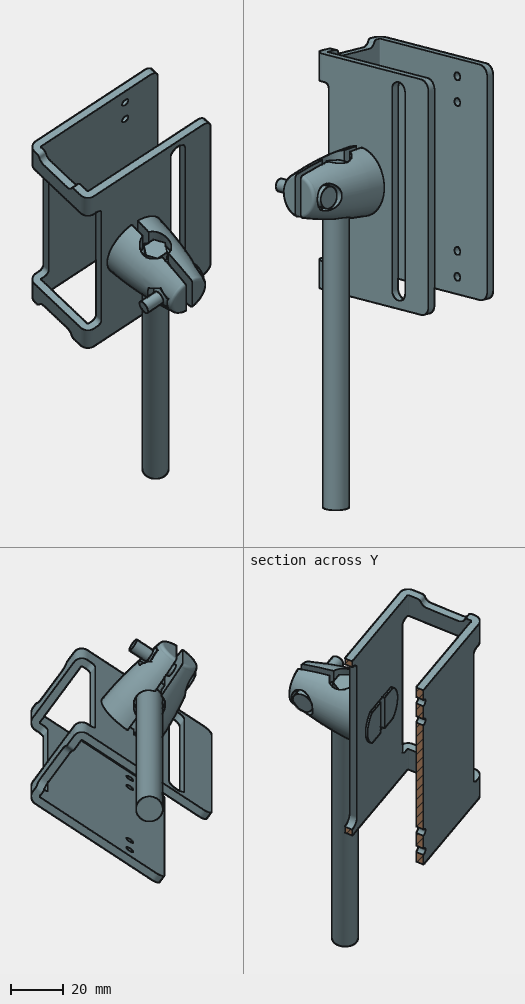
import cadquery as cq
import math

BRACKET_WIDTH = 34.5
BRACKET_DEPTH = 61.0
BRACKET_HEIGHT = 92.1
TOP_Z = 171.2
SHEET = 3.3
BEND_OUTER_RADIUS = 3.6
CORNER_RADIUS = 4.0
BOTTOM_Z = TOP_Z - BRACKET_HEIGHT
MID_Z = TOP_Z - BRACKET_HEIGHT / 2

STRAP_HEIGHT = 11.0
WINDOW_DEPTH = 7.2
WINDOW_CORNER_RADIUS = 2.0

NOTCH_CENTER_X = 16.0
NOTCH_DEPTH = 2.9
NOTCH_FLOOR_HALF = 6.8
NOTCH_MOUTH_HALF = 11.0
NOTCH_FLOOR_ARC_SHARE = 0.65

HOLE_DIAMETER = 3.0
HOLE_FROM_BACK = 16.1
HOLE_OUTER_INSET = 6.8
HOLE_PITCH = 10.1
HOLE_Y = BRACKET_DEPTH - HOLE_FROM_BACK
SLOT_WIDTH = 7.0
SLOT_END_INSET = HOLE_OUTER_INSET - SLOT_WIDTH / 2

CLAMP_Y = 23.6
CLAMP_END_X = 66.8
CLAMP_BASE_RADIUS = 13.5
CLAMP_MID_RADIUS = 12.0
CLAMP_MID_X = 49.3
CLAMP_TIP_RADIUS = 8.5
CLAMP_RIM_ROUNDING = 1.4
CLAMP_RIM_X = CLAMP_END_X - CLAMP_RIM_ROUNDING
SLIT_WIDTH = 2.9
PLUG_RADIUS = 11.3
PLUG_HALF_HEIGHT = 8.0
PLUG_PROUD = 0.9
PLATE_INNER_X = BRACKET_WIDTH - SHEET

ROD_X = 46.8
ROD_DIAMETER = 10.1
ROD_RECESS_RADIUS = 6.0
ROD_RECESS_FLOOR = 5.1
ROD_HEX_ACROSS_FLATS = 8.0
ROD_HEX_TOP = 9.5
COLLAR_RADIUS = 8.2
COLLAR_TOP_RADIUS = 6.8
COLLAR_CHAMFER = COLLAR_RADIUS - COLLAR_TOP_RADIUS

HEXAGON_SIDES = 6

SCREW_X = 59.8
SCREW_DIAMETER = 5.1
SCREW_REACH = 16.6
NUT_POCKET_ACROSS_FLATS = 8.9
NUT_POCKET_FLOOR = 6.2
NUT_ACROSS_FLATS = 8.0
NUT_CROWN = 9.0
NUT_CONE_SLOPE = math.radians(25)
HEAD_RECESS_RADIUS = 5.3
HEAD_RECESS_FLOOR = 5.1
HEAD_RADIUS = 4.3
HEAD_TOP = 9.5


def hexagon_diameter(across_flats):
    return across_flats / math.cos(math.radians(30))


def cylinder_z(x, y, radius, z_low, z_high):
    return cq.Workplane("XY", origin=(x, y, z_low)).circle(radius).extrude(z_high - z_low)


def cylinder_y(radius, y_low, y_high):
    """Cylinder on the clamp screw axis."""
    plane = cq.Workplane("XZ", origin=(SCREW_X, y_high, MID_Z))
    return plane.circle(radius).extrude(y_high - y_low)


def bracket_shell():
    outer = (
        cq.Workplane("XY", origin=(0, 0, BOTTOM_Z))
        .rect(BRACKET_WIDTH, BRACKET_DEPTH, centered=False)
        .extrude(BRACKET_HEIGHT)
        .edges("|Z and <Y").fillet(BEND_OUTER_RADIUS)
        .edges("|X and >Y").fillet(CORNER_RADIUS)
    )
    cavity = (
        cq.Workplane("XY", origin=(SHEET, SHEET, BOTTOM_Z))
        .rect(BRACKET_WIDTH - 2 * SHEET, BRACKET_DEPTH, centered=False)
        .extrude(BRACKET_HEIGHT)
        .edges("|Z and <Y").fillet(BEND_OUTER_RADIUS - SHEET)
    )
    return outer.cut(cavity)


def front_window():
    return (
        cq.Workplane("XY", origin=(0, -WINDOW_DEPTH, BOTTOM_Z + STRAP_HEIGHT))
        .rect(BRACKET_WIDTH, 2 * WINDOW_DEPTH, centered=False)
        .extrude(BRACKET_HEIGHT - 2 * STRAP_HEIGHT)
        .edges("|X and >Y").fillet(WINDOW_CORNER_RADIUS)
    )


def strap_notch(edge_z, inward):
    """Notch with S-shaped flanks, each a floor arc running tangent into a mouth arc."""
    flank = NOTCH_MOUTH_HALF - NOTCH_FLOOR_HALF
    sweep = 2 * math.atan(NOTCH_DEPTH / flank)
    radius_sum = flank / math.sin(sweep)
    floor_radius = NOTCH_FLOOR_ARC_SHARE * radius_sum
    mouth_radius = radius_sum - floor_radius
    half = sweep / 2

    def floor_point(angle):
        return (
            NOTCH_FLOOR_HALF + floor_radius * math.sin(angle),
            NOTCH_DEPTH - floor_radius * (1 - math.cos(angle)),
        )

    def mouth_point(angle):
        return (
            NOTCH_MOUTH_HALF - mouth_radius * math.sin(angle),
            mouth_radius * (1 - math.cos(angle)),
        )

    def at(point, side):
        return (NOTCH_CENTER_X + side * point[0], edge_z + inward * point[1])

    return (
        cq.Workplane("XZ")
        .moveTo(*at(mouth_point(0), -1))
        .threePointArc(at(mouth_point(half), -1), at(mouth_point(sweep), -1))
        .threePointArc(at(floor_point(half), -1), at(floor_point(0), -1))
        .lineTo(*at(floor_point(0), 1))
        .threePointArc(at(floor_point(half), 1), at(floor_point(sweep), 1))
        .threePointArc(at(mouth_point(half), 1), at(mouth_point(0), 1))
        .close()
        .extrude(-SHEET)
    )


def left_plate_holes():
    half_span = BRACKET_HEIGHT / 2 - HOLE_OUTER_INSET
    offsets = [half_span, half_span - HOLE_PITCH, HOLE_PITCH - half_span, -half_span]
    return (
        cq.Workplane("YZ", origin=(0, HOLE_Y, MID_Z))
        .pushPoints([(0, offset) for offset in offsets])
        .circle(HOLE_DIAMETER / 2)
        .extrude(SHEET)
    )


def right_plate_slot():
    return (
        cq.Workplane("YZ", origin=(PLATE_INNER_X, HOLE_Y, MID_Z))
        .slot2D(BRACKET_HEIGHT - 2 * SLOT_END_INSET, SLOT_WIDTH, 90)
        .extrude(SHEET)
    )


def clamp_plug():
    """Round plug with flats above and below, seated in the right plate."""
    length = SHEET + PLUG_PROUD
    plane = cq.Workplane("YZ", origin=(PLATE_INNER_X - PLUG_PROUD, CLAMP_Y, MID_Z))
    flats = plane.rect(2 * PLUG_RADIUS, 2 * PLUG_HALF_HEIGHT).extrude(length)
    return plane.circle(PLUG_RADIUS).extrude(length).intersect(flats)


def clamp_body():
    axis_start = (BRACKET_WIDTH, 0)
    return (
        cq.Workplane("XY", origin=(0, CLAMP_Y, MID_Z))
        .moveTo(*axis_start)
        .lineTo(BRACKET_WIDTH, CLAMP_BASE_RADIUS)
        .threePointArc((CLAMP_MID_X, CLAMP_MID_RADIUS), (CLAMP_RIM_X, CLAMP_TIP_RADIUS))
        .radiusArc((CLAMP_END_X, CLAMP_TIP_RADIUS - CLAMP_RIM_ROUNDING), CLAMP_RIM_ROUNDING)
        .lineTo(CLAMP_END_X, 0)
        .close()
        .revolve(360, axis_start, (CLAMP_END_X, 0))
    )


def clamp_slit():
    return cq.Workplane("XY", origin=(0, CLAMP_Y, MID_Z)).box(
        2 * CLAMP_END_X, SLIT_WIDTH, 2 * CLAMP_BASE_RADIUS
    )


def rod_recesses():
    top = cylinder_z(
        ROD_X, CLAMP_Y, ROD_RECESS_RADIUS, MID_Z + ROD_RECESS_FLOOR, MID_Z + CLAMP_BASE_RADIUS
    )
    return top.union(top.mirror("XY", (0, 0, MID_Z)))


def rod():
    shaft = cylinder_z(ROD_X, CLAMP_Y, ROD_DIAMETER / 2, 0, MID_Z)
    collar = (
        cylinder_z(
            ROD_X, CLAMP_Y, COLLAR_RADIUS, MID_Z - ROD_RECESS_FLOOR, MID_Z + ROD_RECESS_FLOOR
        )
        .faces(">Z").chamfer(COLLAR_CHAMFER)
    )
    hexagon = (
        cq.Workplane("XY", origin=(ROD_X, CLAMP_Y, MID_Z))
        .transformed(rotate=(0, 0, 90))
        .polygon(HEXAGON_SIDES, hexagon_diameter(ROD_HEX_ACROSS_FLATS))
        .extrude(ROD_HEX_TOP)
    )
    return shaft.union(collar).union(hexagon)


def nut_prism(across_flats, outer_end):
    """Hexagonal prism on the clamp screw axis, rising from the nut pocket floor."""
    return (
        cq.Workplane("XZ", origin=(SCREW_X, CLAMP_Y - NUT_POCKET_FLOOR, MID_Z))
        .transformed(rotate=(0, 0, 90))
        .polygon(HEXAGON_SIDES, hexagon_diameter(across_flats))
        .extrude(outer_end - NUT_POCKET_FLOOR)
    )


def screw_recesses():
    nut_pocket = nut_prism(NUT_POCKET_ACROSS_FLATS, CLAMP_BASE_RADIUS)
    head_recess = cylinder_y(
        HEAD_RECESS_RADIUS, CLAMP_Y + HEAD_RECESS_FLOOR, CLAMP_Y + CLAMP_BASE_RADIUS
    )
    return nut_pocket.union(head_recess)


def nut():
    """Hexagonal nut with a shallow conical outer face."""
    cone_height = NUT_CROWN - NUT_POCKET_FLOOR
    cone_base_radius = SCREW_DIAMETER / 2 + cone_height / math.tan(NUT_CONE_SLOPE)
    cone = (
        cq.Workplane("XZ", origin=(SCREW_X, CLAMP_Y - NUT_POCKET_FLOOR, MID_Z))
        .circle(cone_base_radius)
        .workplane(offset=cone_height)
        .circle(SCREW_DIAMETER / 2)
        .loft()
    )
    return nut_prism(NUT_ACROSS_FLATS, NUT_CROWN).intersect(cone)


def clamp_screw():
    shank = cylinder_y(SCREW_DIAMETER / 2, CLAMP_Y - SCREW_REACH, CLAMP_Y + HEAD_RECESS_FLOOR)
    head = cylinder_y(HEAD_RADIUS, CLAMP_Y + HEAD_RECESS_FLOOR, CLAMP_Y + HEAD_TOP)
    return shank.union(head)


bracket = (
    bracket_shell()
    .cut(front_window())
    .cut(strap_notch(TOP_Z, -1))
    .cut(strap_notch(BOTTOM_Z, 1))
    .cut(left_plate_holes())
    .cut(right_plate_slot())
    .cut(clamp_plug())
)
clamp = (
    clamp_body()
    .union(clamp_plug())
    .cut(clamp_slit())
    .cut(rod_recesses())
    .cut(screw_recesses())
)
result = bracket.union(clamp).union(rod()).union(clamp_screw()).union(nut())